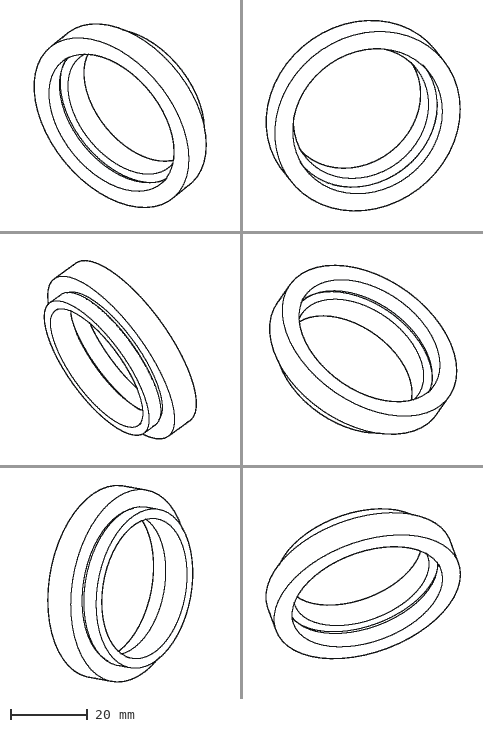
import cadquery as cq

flange_diameter = 50.8
flange_length = 7.5
neck_diameter = 41.0
neck_length = 0.95
collar_diameter = 42.0
collar_length = 4.0
bore_diameter = 37.0
counterbore_diameter = 41.0
counterbore_depth = 4.5
undercut_diameter = 42.0
undercut_length = 1.0

neck_end = flange_length + neck_length
total_length = neck_end + collar_length


def cylinder(diameter, start, length):
    """Solid cylinder along +Y, beginning at Y = start."""
    return cq.Workplane("XZ", origin=(0, start, 0)).circle(diameter / 2).extrude(-length)


body = cylinder(flange_diameter, 0, flange_length)
body = body.union(cylinder(neck_diameter, flange_length, neck_length))
body = body.union(cylinder(collar_diameter, neck_end, collar_length))

body = body.cut(cylinder(bore_diameter, 0, total_length))
body = body.cut(cylinder(counterbore_diameter, 0, counterbore_depth))
result = body.cut(cylinder(undercut_diameter, counterbore_depth, undercut_length))